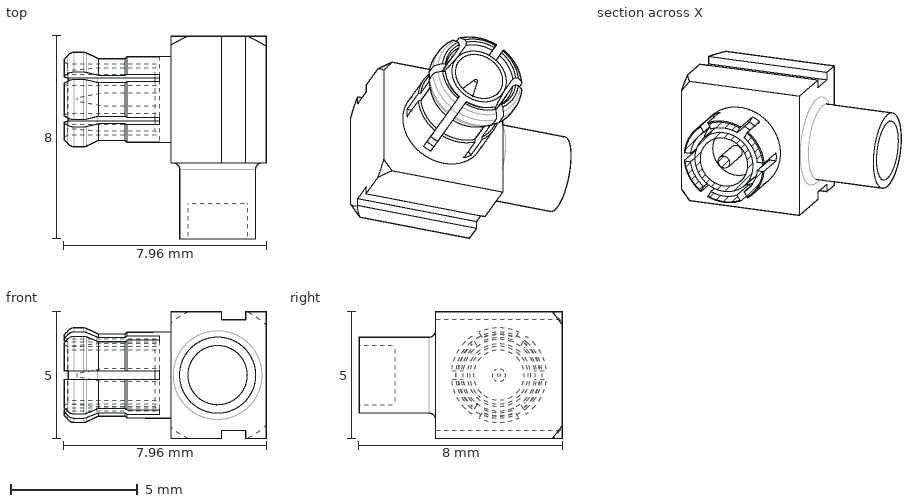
import cadquery as cq
import math


block_width = 3.76
block_side = 5.0
block_back_x = 1.92
block_face_x = block_back_x - block_width
block_half = block_side / 2
groove_width = 0.94
groove_depth = 0.31
groove_center_x = 0.63
turned_edge_radius = 2.75
turned_edge_angle = 45

tube_length = 3.0
tube_diameter = 3.0
tube_radius = tube_diameter / 2
tube_bore_radius = 1.17
tube_bore_depth = 1.4
tube_root_fillet = 0.25

plug_length = 4.2
tip_x = block_face_x - plug_length
tip_radius = 1.6
tip_chamfer = 0.14
crown_radius = 1.87
crown_start = 0.38
crown_end = 0.75
crown_round = 0.3
crown_back_angle = math.radians(25)
neck_radius = 1.62
neck_start = 1.34
neck_end = 2.4
shank_diameter = 3.4
shank_radius = shank_diameter / 2
shell_bore_radius = 1.42
shell_bore_depth = 3.75
shell_mouth_flare = 0.07
shell_mouth_length = 0.14
slot_count = 6
slot_width = 0.34

sleeve_setback = 0.15
sleeve_front_radius = 1.14
sleeve_radius = 1.24
sleeve_taper_end = 1.32
sleeve_bore_radius = 0.99
sleeve_bore_depth = shell_bore_depth

pin_radius = 0.26
pin_tip_radius = 0.06
pin_tip_depth = 0.5
pin_taper_length = 1.0


def revolve_about_plug_axis(profile):
    """Close a (distance from tips, radius) profile, turn it about X and place it at the tips."""
    return profile.close().revolve(360, (0, 0, 0), (1, 0, 0)).translate((tip_x, 0, 0))


def make_block():
    block = cq.Workplane("XY").box(block_width, block_side, block_side)
    block = block.translate((block_back_x - block_width / 2, 0, 0))
    envelope = (
        cq.Workplane("XZ", origin=(0, block_half, 0))
        .circle(turned_edge_radius)
        .extrude(block_side, taper=-turned_edge_angle)
    )
    block = block.intersect(envelope)
    for side in (1, -1):
        groove = cq.Workplane("XY").box(groove_width, block_side, 2 * groove_depth)
        block = block.cut(groove.translate((groove_center_x, 0, side * block_half)))
    return block


def make_tube():
    end = block_half + tube_length
    flare_radius = tube_radius + tube_root_fillet
    flare_mid_radius = flare_radius - tube_root_fillet * math.sin(math.pi / 4)
    flare_mid_y = block_half + tube_root_fillet * (1 - math.cos(math.pi / 4))
    return (
        cq.Workplane("XY")
        .moveTo(0, -block_half)
        .lineTo(flare_radius, -block_half)
        .threePointArc(
            (flare_mid_radius, -flare_mid_y),
            (tube_radius, -block_half - tube_root_fillet),
        )
        .lineTo(tube_radius, -end)
        .lineTo(0, -end)
        .close()
        .revolve(360, (0, 0, 0), (0, 1, 0))
    )


def make_tube_bore():
    end = block_half + tube_length
    bore = cq.Workplane("XZ", origin=(0, tube_bore_depth - end, 0)).circle(tube_bore_radius)
    return bore.extrude(tube_bore_depth)


def make_finger_shell():
    shoulder = shank_radius - neck_radius
    back_round_x = crown_end + crown_round * math.sin(crown_back_angle)
    back_round_radius = crown_radius - crown_round * (1 - math.cos(crown_back_angle))
    shell = revolve_about_plug_axis(
        cq.Workplane("XY")
        .moveTo(0, 0)
        .lineTo(0, tip_radius)
        .lineTo(tip_chamfer, tip_radius + tip_chamfer)
        .radiusArc((crown_start, crown_radius), crown_round)
        .lineTo(crown_end, crown_radius)
        .radiusArc((back_round_x, back_round_radius), crown_round)
        .lineTo(neck_start, neck_radius)
        .lineTo(neck_end, neck_radius)
        .lineTo(neck_end + shoulder, shank_radius)
        .lineTo(plug_length, shank_radius)
        .lineTo(plug_length, 0)
    )
    bore = revolve_about_plug_axis(
        cq.Workplane("XY")
        .moveTo(0, 0)
        .lineTo(0, shell_bore_radius + shell_mouth_flare)
        .lineTo(shell_mouth_length, shell_bore_radius)
        .lineTo(shell_bore_depth, shell_bore_radius)
        .lineTo(shell_bore_depth, 0)
    )
    shell = shell.cut(bore)
    for index in range(slot_count):
        slot = cq.Workplane("XY").box(
            shell_bore_depth, 2 * crown_radius, slot_width, centered=(False, False, True)
        )
        slot = slot.translate((tip_x, 0, 0))
        shell = shell.cut(slot.rotate((0, 0, 0), (1, 0, 0), index * 360 / slot_count))
    return shell


def make_sleeve():
    root_cone_start = shell_bore_depth - (shell_bore_radius - sleeve_radius)
    return revolve_about_plug_axis(
        cq.Workplane("XY")
        .moveTo(sleeve_setback, 0)
        .lineTo(sleeve_setback, sleeve_front_radius)
        .lineTo(sleeve_taper_end, sleeve_radius)
        .lineTo(root_cone_start, sleeve_radius)
        .lineTo(shell_bore_depth, shell_bore_radius)
        .lineTo(plug_length, shell_bore_radius)
        .lineTo(plug_length, 0)
    )


def make_sleeve_bore():
    return cq.Workplane("YZ", origin=(tip_x, 0, 0)).circle(sleeve_bore_radius).extrude(sleeve_bore_depth)


def make_pin():
    return revolve_about_plug_axis(
        cq.Workplane("XY")
        .moveTo(pin_tip_depth, 0)
        .lineTo(pin_tip_depth, pin_tip_radius)
        .lineTo(pin_tip_depth + pin_taper_length, pin_radius)
        .lineTo(plug_length, pin_radius)
        .lineTo(plug_length, 0)
    )


plug = make_finger_shell().union(make_sleeve()).cut(make_sleeve_bore()).union(make_pin())
result = make_block().union(make_tube()).cut(make_tube_bore()).union(plug)